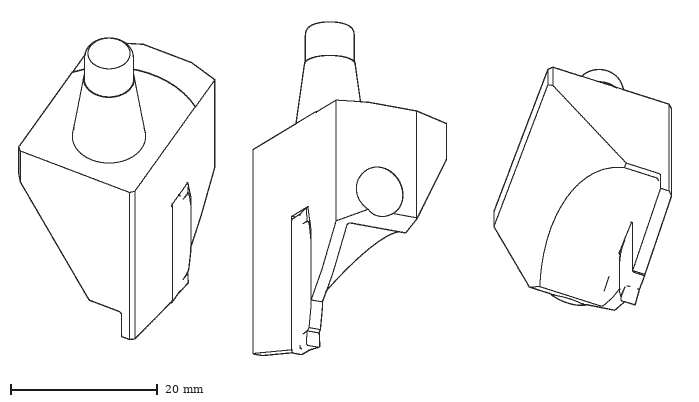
import cadquery as cq
import math


shank_top = 16.5
shank_radius = 3.35
nose_radius = 3.3
nose_round_width = 0.45
nose_round_height = 0.75
nose_length = 1.05
cone_top = 11.45
cone_top_radius = 3.45
cone_base_radius = 5.0

head_left = -10.0
head_right = 7.85
head_front = -8.0
head_back = 17.5
back_flat_left = -3.85
back_flat_right = 3.55
left_back_corner = 14.9
right_back_corner = 16.15
front_chamfer = 0.55
seat_radius = 13.0
seat_height = 0.1

edge_y = 8.0
edge_z = -33.0

front_bottom = -29.3
bottom_angle = 14.5
back_slope_top = -15.55
back_slope_knee = (12.1, -23.35)
back_slope_end = -26.8

flank_top = -5.25
flank_angle = 60
clearance_radius = 17.5
clearance_floor = -24.5
clearance_fillet = 0.4
blade_inner = 6.1

boss_x = 1.75
boss_z = -12.65
boss_radius = 3.45
boss_rounding = 0.5
boss_height = 0.45
boss_root = 1.5

insert_length = 20.0
insert_front = 3.55
insert_back = 9.05
insert_middle = edge_z + insert_length / 2
tip_reach = 0.25
body_half_length = insert_length / 2 - tip_reach
body_rounding = 0.35
back_taper_start = 4.55
back_taper_end = 7.55
back_taper_y = 8.45
tip_overhang = 0.16
tip_start = 7.9
tip_root = (6.8, 7.95)
tip_heel_y = 5.75
tip_rounding = 0.25
pocket_taper_start = 6.25
pocket_end_y = 8.1

past = 4.95


def make_shank():
    arc_radius = (nose_round_width**2 + nose_round_height**2) / (2 * nose_round_width)
    profile = (
        cq.Workplane("XZ")
        .moveTo(0, -seat_height)
        .lineTo(cone_base_radius, -seat_height)
        .lineTo(cone_base_radius, 0)
        .lineTo(cone_top_radius, cone_top)
        .lineTo(shank_radius, cone_top)
        .lineTo(shank_radius, shank_top - nose_length)
        .lineTo(nose_radius, shank_top - nose_round_height)
        .radiusArc((nose_radius - nose_round_width, shank_top), -arc_radius)
        .lineTo(0, shank_top)
        .close()
    )
    return profile.revolve(360, (0, 0, 0), (0, 1, 0))


def make_head_block():
    """Plan outline of the head, bounded by its side profile."""
    outline = (
        cq.Workplane("XY")
        .polyline([
            (head_left + front_chamfer, head_front),
            (head_right - front_chamfer, head_front),
            (head_right, head_front + front_chamfer),
            (head_right, right_back_corner),
            (back_flat_right, head_back),
            (back_flat_left, head_back),
            (head_left, left_back_corner),
            (head_left, head_front + front_chamfer),
        ])
        .close()
        .extrude(edge_z)
    )
    bottom_rise = (insert_front - head_front) * math.tan(math.radians(bottom_angle))
    profile = (
        cq.Workplane("YZ", origin=(head_left, 0, 0))
        .polyline([
            (head_front, 0),
            (head_front, front_bottom),
            (insert_front, front_bottom - bottom_rise),
            (insert_back, back_slope_end),
            back_slope_knee,
            (head_back, back_slope_top),
            (head_back, 0),
        ])
        .close()
        .extrude(head_right - head_left)
    )
    return outline.intersect(profile)


def make_seat_step():
    """Thin layer removed from the top face outside the raised disc."""
    layer_size = 2 * (head_back + past)
    layer = cq.Workplane("XY").rect(layer_size, layer_size).extrude(-seat_height)
    disc = cq.Workplane("XY").circle(seat_radius).extrude(-seat_height)
    return layer.cut(disc)


def make_flank_cut():
    """Wedge below the slanted flank on the left side."""
    drop = edge_z - past - flank_top
    return (
        cq.Workplane("XZ", origin=(0, head_front - past, 0))
        .polyline([
            (head_left, flank_top),
            (head_left - drop / math.tan(math.radians(flank_angle)), flank_top + drop),
            (head_left - past, flank_top + drop),
            (head_left - past, flank_top),
        ])
        .close()
        .extrude(-(head_back - head_front + 2 * past))
    )


def make_clearance_cut():
    """Round clearance that leaves only the thin blade beside the insert."""
    floor_rise = clearance_floor - edge_z
    floor_end = edge_y - math.sqrt(clearance_radius**2 - floor_rise**2)
    return (
        cq.Workplane("YZ", origin=(head_left - past, 0, 0))
        .moveTo(head_front - past, clearance_floor)
        .lineTo(floor_end, clearance_floor)
        .threePointArc((edge_y, edge_z + clearance_radius), (edge_y + clearance_radius, edge_z))
        .lineTo(edge_y + clearance_radius, edge_z - past)
        .lineTo(head_front - past, edge_z - past)
        .close()
        .extrude(blade_inner - head_left + past)
        .faces(">X")
        .edges()
        .fillet(clearance_fillet)
    )


def make_insert_pocket():
    """Slot for the insert, open to the right side and downwards."""
    return (
        cq.Workplane("YZ", origin=(blade_inner - tip_overhang, 0, insert_middle))
        .polyline([
            (insert_front, -insert_length / 2 - past),
            (insert_back, -insert_length / 2 - past),
            (insert_back, pocket_taper_start),
            (pocket_end_y, insert_length / 2),
            (insert_front, insert_length / 2),
        ])
        .close()
        .extrude(head_right - blade_inner + past)
    )


def make_boss():
    boss = (
        cq.Workplane("XZ", origin=(boss_x, head_back + boss_height, boss_z))
        .circle(boss_radius)
        .extrude(boss_height + boss_root)
    )
    return boss.faces(">Y").edges().fillet(boss_rounding)


def make_holder():
    return (
        make_head_block()
        .cut(make_seat_step())
        .cut(make_flank_cut())
        .union(make_boss())
        .cut(make_clearance_cut())
        .cut(make_insert_pocket())
        .union(make_shank())
    )


def make_insert_body():
    """Flat bar, tapered at the back near both ends, with rounded end edges."""
    plan = (
        cq.Workplane("YZ", origin=(blade_inner, 0, insert_middle))
        .polyline([
            (insert_front, -body_half_length),
            (edge_y, -body_half_length),
            (edge_y, -tip_start),
            (back_taper_y, -back_taper_end),
            (insert_back, -back_taper_start),
            (insert_back, back_taper_start),
            (back_taper_y, back_taper_end),
            (edge_y, tip_start),
            (edge_y, body_half_length),
            (insert_front, body_half_length),
        ])
        .close()
        .extrude(head_right - blade_inner)
    )
    return plan.faces("<Z or >Z").edges("|Y").fillet(body_rounding)


def make_lower_tip():
    """Cutting tip whose sides stand out from the line root-heel, most at the cutting corner."""
    wide_left = blade_inner - tip_overhang
    wide_right = head_right + tip_overhang
    tip = (
        cq.Workplane("YZ", origin=(wide_left, 0, insert_middle))
        .polyline([
            (edge_y, -tip_start),
            (tip_root[0], -tip_root[1]),
            (tip_heel_y, -body_half_length),
            (edge_y, -insert_length / 2),
        ])
        .close()
        .extrude(wide_right - wide_left)
    )

    along_y = tip_root[0] - tip_heel_y
    along_z = body_half_length - tip_root[1]
    line_length = math.hypot(along_y, along_z)
    corner_y = edge_y - tip_heel_y
    corner_z = body_half_length - insert_length / 2
    corner_distance = (corner_y * along_z - corner_z * along_y) / line_length
    heel = (0, tip_heel_y, insert_middle - body_half_length)
    across_line = cq.Plane(origin=heel, xDir=(1, 0, 0), normal=(0, along_y, along_z))
    wedge = (
        cq.Workplane(across_line)
        .polyline([
            (blade_inner, 0),
            (head_right, 0),
            (wide_right, corner_distance),
            (wide_left, corner_distance),
        ])
        .close()
        .extrude(2 * insert_length, both=True)
    )
    return tip.intersect(wedge).faces("<Z").edges("not |X").fillet(tip_rounding)


def make_insert():
    lower_tip = make_lower_tip()
    upper_tip = lower_tip.mirror("XY", (0, 0, insert_middle))
    return make_insert_body().union(lower_tip).union(upper_tip)


holder = make_holder().solids()
insert = make_insert().solids()

result = cq.Compound.makeCompound([holder.val(), insert.val()])